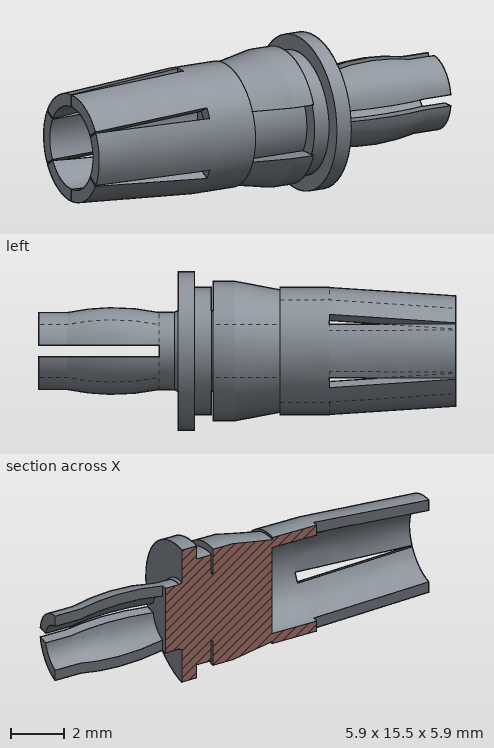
import cadquery as cq

total_length = 15.5

sleeve_start = 4.7
cone_start = 6.54
ring_start = 8.2
ring_end = 9.02
collar_start = 9.08
flange_start = 9.7
flange_end = 10.32
neck_start = 10.45
prong_root = 11.02
tip_start = 14.43

mouth_diameter = 4.1
sleeve_diameter = 4.75
cone_small_diameter = 4.55
ring_diameter = 5.2
core_diameter = 3.0
ring_seat_diameter = 3.81
flange_diameter = 5.9
neck_diameter = 2.9
bulge_diameter = 3.25
tip_diameter = 2.9
socket_bore_diameter = 3.81
pin_bore_diameter = 2.0

socket_wall = (sleeve_diameter - socket_bore_diameter) / 2
pin_wall = (tip_diameter - pin_bore_diameter) / 2
socket_slot_count = 6
socket_slot_root_width = 0.42
socket_slot_mouth_width = 0.05
pin_slot_width = 0.42
ring_gap_width = 1.95

bulge_middle = (prong_root + tip_start) / 2


def revolve_about_y(profile):
    """Close a half profile and turn it about the Y axis."""
    return profile.close().revolve(360, (0, 0, 0), (0, 1, 0))


def make_body():
    """Solid outer shape: socket, snap ring, flange and pin."""
    profile = (
        cq.Workplane("XY")
        .moveTo(0, 0)
        .lineTo(mouth_diameter / 2, 0)
        .lineTo(sleeve_diameter / 2, sleeve_start)
        .lineTo(sleeve_diameter / 2, cone_start)
        .lineTo(cone_small_diameter / 2, cone_start)
        .lineTo(ring_diameter / 2, ring_start)
        .lineTo(ring_diameter / 2, ring_end)
        .lineTo(core_diameter / 2, ring_end)
        .lineTo(core_diameter / 2, collar_start)
        .lineTo(sleeve_diameter / 2, collar_start)
        .lineTo(sleeve_diameter / 2, flange_start)
        .lineTo(flange_diameter / 2, flange_start)
        .lineTo(flange_diameter / 2, flange_end)
        .lineTo(core_diameter / 2, flange_end)
        .lineTo(neck_diameter / 2, neck_start)
        .lineTo(neck_diameter / 2, prong_root)
        .threePointArc((bulge_diameter / 2, bulge_middle), (tip_diameter / 2, tip_start))
        .lineTo(tip_diameter / 2, total_length)
        .lineTo(0, total_length)
    )
    return revolve_about_y(profile)


def make_socket_bore():
    """Blind bore whose front part tapers with the outside of the socket."""
    profile = (
        cq.Workplane("XY")
        .moveTo(0, 0)
        .lineTo(mouth_diameter / 2 - socket_wall, 0)
        .lineTo(socket_bore_diameter / 2, sleeve_start)
        .lineTo(socket_bore_diameter / 2, cone_start)
        .lineTo(0, cone_start)
    )
    return revolve_about_y(profile)


def make_pin_bore():
    """Blind bore that follows the bulge, so the prongs keep an even wall."""
    profile = (
        cq.Workplane("XY")
        .moveTo(0, prong_root)
        .lineTo(neck_diameter / 2 - pin_wall, prong_root)
        .threePointArc(
            (bulge_diameter / 2 - pin_wall, bulge_middle),
            (pin_bore_diameter / 2, tip_start),
        )
        .lineTo(pin_bore_diameter / 2, total_length)
        .lineTo(0, total_length)
    )
    return revolve_about_y(profile)


def make_socket_slot(index):
    """Radial slot, wide at the root and almost shut at the mouth."""
    slot = (
        cq.Workplane("XY")
        .moveTo(-socket_slot_mouth_width / 2, 0)
        .lineTo(socket_slot_mouth_width / 2, 0)
        .lineTo(socket_slot_root_width / 2, sleeve_start)
        .lineTo(-socket_slot_root_width / 2, sleeve_start)
        .close()
        .extrude(sleeve_diameter)
    )
    return slot.rotate((0, 0, 0), (0, 1, 0), index * 360 / socket_slot_count)


def make_pin_slots():
    """Two crossed slots that split the pin into four prongs."""
    length = total_length - prong_root
    middle = (0, prong_root + length / 2, 0)
    across_x = cq.Workplane("XY").box(flange_diameter, length, pin_slot_width)
    across_z = cq.Workplane("XY").box(pin_slot_width, length, flange_diameter)
    return across_x.union(across_z).translate(middle)


def make_ring_gap():
    """Opening on the +X side of the snap ring, down to its round seat."""
    length = ring_end - cone_start
    opening = (
        cq.Workplane("XY")
        .box(flange_diameter, length, ring_gap_width)
        .translate((flange_diameter / 2, cone_start + length / 2, 0))
    )
    seat = cq.Workplane("XZ", origin=(0, cone_start, 0)).circle(ring_seat_diameter / 2).extrude(-length)
    return opening.cut(seat)


result = make_body().cut(make_socket_bore()).cut(make_pin_bore())
for slot_index in range(socket_slot_count):
    result = result.cut(make_socket_slot(slot_index))
result = result.cut(make_pin_slots()).cut(make_ring_gap())